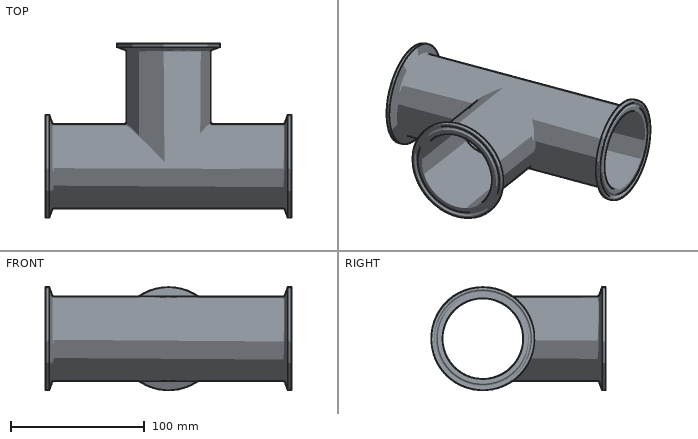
import cadquery as cq
import math

tube_diameter = 63.5
bore_diameter = 60.2
mouth_radius = 0.4
face_distance = 184.15 / 2
crotch_radius = 1.6

flange_diameter = 77.39
rim_thickness = 2.85
back_angle = 20
neck_radius = 1.15
rim_radius = 0.5

groove_diameter = 70.5
groove_round_radius = 1.3
groove_depth = 1.2
groove_lip_radius = 0.4

tube_radius = tube_diameter / 2
flange_radius = flange_diameter / 2

LEFT = (-1, 0, 0)
RIGHT = (1, 0, 0)
BRANCH = (0, 1, 0)


def place_on_leg(solid, direction):
    """Turn a solid built along Z so that it lies along one leg of the tee."""
    leg_plane = cq.Plane(origin=(0, 0, 0), xDir=(0, 0, 1), normal=direction)
    return cq.Workplane(solid.moved(leg_plane.location))


def solid_leg(direction):
    """Unbored leg from the tee centre to its open face, with tube, neck and flange."""
    angle = math.radians(back_angle)
    rim_back = face_distance - rim_thickness
    back_foot = rim_back - (flange_radius - tube_radius) * math.tan(angle)
    middle_angle = (math.pi / 2 - angle) / 2
    tangent_length = neck_radius * math.tan(middle_angle)
    neck_start = back_foot - tangent_length
    neck_end_radius = tube_radius + tangent_length * math.cos(angle)
    neck_end = back_foot + tangent_length * math.sin(angle)
    arc_centre_radius = tube_radius + neck_radius
    neck_middle = (
        arc_centre_radius - neck_radius * math.cos(middle_angle),
        neck_start + neck_radius * math.sin(middle_angle),
    )
    leg = (
        cq.Workplane("XZ")
        .lineTo(tube_radius, 0)
        .lineTo(tube_radius, neck_start)
        .threePointArc(neck_middle, (neck_end_radius, neck_end))
        .lineTo(flange_radius, rim_back)
        .lineTo(flange_radius, face_distance - rim_radius)
        .radiusArc((flange_radius - rim_radius, face_distance), -rim_radius)
        .lineTo(0, face_distance)
        .close()
        .revolve(360, (0, 0, 0), (0, 1, 0))
    )
    return place_on_leg(leg.val(), direction)


def bore(direction):
    """Cylinder that hollows one leg, flaring at the open face to round the bore mouth."""
    bore_radius = bore_diameter / 2
    hollow = (
        cq.Workplane("XZ")
        .lineTo(bore_radius, 0)
        .lineTo(bore_radius, face_distance - mouth_radius)
        .radiusArc((bore_radius + mouth_radius, face_distance), mouth_radius)
        .lineTo(0, face_distance)
        .close()
        .revolve(360, (0, 0, 0), (0, 1, 0))
    )
    return place_on_leg(hollow.val(), direction)


def gasket_groove(direction):
    """Ring that cuts a round-bottomed groove with rounded lips into one open face."""
    arc_height = face_distance - groove_depth + groove_round_radius
    middle = groove_diameter / 2
    lip_height = face_distance - groove_lip_radius
    centre_rise = arc_height - lip_height
    centre_distance = groove_round_radius + groove_lip_radius
    lip_offset = math.sqrt(centre_distance**2 - centre_rise**2)
    touch_share = groove_round_radius / centre_distance
    touch_offset = lip_offset * touch_share
    touch_height = arc_height - centre_rise * touch_share
    ring = (
        cq.Workplane("XZ")
        .moveTo(middle - lip_offset, face_distance)
        .radiusArc((middle - touch_offset, touch_height), groove_lip_radius)
        .threePointArc((middle, face_distance - groove_depth), (middle + touch_offset, touch_height))
        .radiusArc((middle + lip_offset, face_distance), groove_lip_radius)
        .close()
        .revolve(360, (0, 0, 0), (0, 1, 0))
    )
    return place_on_leg(ring.val(), direction)


run = solid_leg(LEFT).union(solid_leg(RIGHT))
tee = run.union(solid_leg(BRANCH))
tee = tee.edges("%ELLIPSE").fillet(crotch_radius)

run_bore = bore(LEFT).union(bore(RIGHT))
tee = tee.cut(run_bore.union(bore(BRANCH)))
for end_direction in (LEFT, RIGHT, BRANCH):
    tee = tee.cut(gasket_groove(end_direction))

result = tee